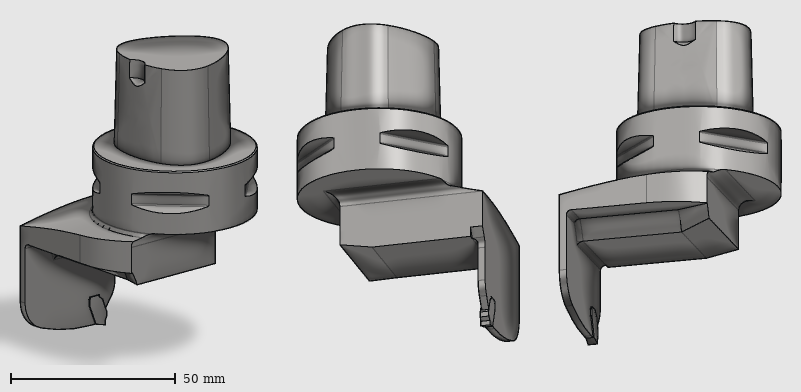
import cadquery as cq
import math


SHANK_LENGTH = 30.0
SHANK_BASE_DIAMETER = 35.1
SHANK_TAPER = 1 / 20
LOBE_OFFSET = 1.4
FACES_AROUND = 6
POINTS_PER_FACE = 7

NOTCH_RADIUS = 4.2
NOTCH_AXIS_Y = -17.6
NOTCH_DEPTH = 5.8
NOTCH_CONE_DEPTH = 3.4

FLANGE_RADIUS = 50.0 / 2
FLANGE_HEIGHT = 20.0
FLANGE_CHAMFER = 0.4
GROOVE_Z = -FLANGE_HEIGHT / 2
GROOVE_FLOOR_RADIUS = 22.0
GROOVE_FLOOR_HALF_WIDTH = 1.7
GROOVE_FLANK_ANGLE = 30
GROOVE_FLOOR_FILLET = 0.5
GROOVE_COUNT = 4

BLOCK_LEFT_X = -34.7
BLOCK_RIGHT_X = 10.45
BLOCK_FRONT_Y = -32.0
BLOCK_BACK_Y = 7.1
BLOCK_BOTTOM_Z = -38.4
FRONT_ARC_CENTER_X = -7.1
COVE_RADIUS = 4.0
CONE_START_Z = -21.2
CONE_ANGLE = 15
NECK_FILLET = 1.2
REACH = 57.0

RELIEF_TOP_Z = -32.3
RELIEF_TOP_Y = -22.8
RELIEF_TOP_SLOPE = 49
RELIEF_BOTTOM_SLOPE = 73
BEND_X = 0.3
RELIEF_TURN = 26
UNDERSIDE_RISE = 10.6

BLADE_THICKNESS = 2.3
BLADE_INNER_X = BLOCK_LEFT_X + BLADE_THICKNESS
BLADE_ROOT_FILLET = 1.5
BLADE_BACK_Y = 4.2
FLANK_ANGLE = 35
SHOULDER_RADIUS = 5.2
SHOULDER_ARC_Z = -41.2
WAIST_RADIUS = 8.0
WAIST_ARC_Z = -51.9
BLADE_BOTTOM_Z = -64.0
BOTTOM_ARC_START_Y = -5.7
BOTTOM_ARC_RADIUS = 58.7
CORNER_RADIUS = 10.0

INSERT_INNER_X = -32.0
TIP_Z = SHANK_LENGTH - 95
TIP_RISE = 0.4
INSERT_POINTS = [
    (0.0, TIP_Z),
    (0.0, -63.6),
    (0.6, -62.3),
    (0.6, -60.7),
    (0.3, -60.0),
    (-1.0, -56.5),
    (-2.3, -55.6),
    (-2.3, -54.9),
    (-5.9, -54.9),
    (-6.2, -55.7),
    (-6.2, -57.9),
    (-3.7, BLADE_BOTTOM_Z),
]
TIP = INSERT_POINTS[0]
SEAT_TOP = INSERT_POINTS[4]
SEAT_HEEL = INSERT_POINTS[-1]
FOLD_START = (0.6, -61.6)
FOLD_END = (-3.1, -64.1)


def sin(degrees):
    return math.sin(math.radians(degrees))


def cos(degrees):
    return math.cos(math.radians(degrees))


def tan(degrees):
    return math.tan(math.radians(degrees))


def lobed_wire(mean_diameter, z):
    """Closed three-lobed outline made of equal spline faces, with one lobe toward +Y."""
    radius = mean_diameter / 2

    def point(angle):
        x = radius * cos(angle) - LOBE_OFFSET * sin(2 * angle)
        y = radius * sin(angle) - LOBE_OFFSET * cos(2 * angle)
        return cq.Vector(x, y, z)

    def tangent(angle):
        x = -radius * sin(angle) - 2 * LOBE_OFFSET * cos(2 * angle)
        y = radius * cos(angle) + 2 * LOBE_OFFSET * sin(2 * angle)
        return cq.Vector(x, y, 0).normalized()

    span = 360 / FACES_AROUND
    edges = []
    for face in range(FACES_AROUND):
        start = face * span
        angles = [start + span * i / (POINTS_PER_FACE - 1) for i in range(POINTS_PER_FACE)]
        ends = [tangent(angles[0]), tangent(angles[-1])]
        edges.append(cq.Edge.makeSpline([point(angle) for angle in angles], tangents=ends))
    return cq.Wire.assembleEdges(edges)


def make_shank():
    top_diameter = SHANK_BASE_DIAMETER - SHANK_TAPER * SHANK_LENGTH
    wires = [lobed_wire(SHANK_BASE_DIAMETER, 0), lobed_wire(top_diameter, SHANK_LENGTH)]
    shank = cq.Workplane(cq.Solid.makeLoft(wires, True))
    notch_profile = [
        (0, SHANK_LENGTH),
        (NOTCH_RADIUS, SHANK_LENGTH),
        (NOTCH_RADIUS, SHANK_LENGTH - NOTCH_DEPTH),
        (0, SHANK_LENGTH - NOTCH_DEPTH - NOTCH_CONE_DEPTH),
    ]
    notch = cq.Workplane("XZ").polyline(notch_profile).close().revolve(360, (0, 0), (0, 1))
    return shank.cut(notch.translate((0, NOTCH_AXIS_Y, 0)))


def make_flange():
    flange = cq.Workplane("XY").circle(FLANGE_RADIUS).extrude(-FLANGE_HEIGHT)
    flange = flange.faces(">Z").chamfer(FLANGE_CHAMFER)
    mouth_half_width = GROOVE_FLOOR_HALF_WIDTH + (REACH - GROOVE_FLOOR_RADIUS) * tan(GROOVE_FLANK_ANGLE)
    groove_profile = [
        (GROOVE_FLOOR_RADIUS, GROOVE_Z - GROOVE_FLOOR_HALF_WIDTH),
        (REACH, GROOVE_Z - mouth_half_width),
        (REACH, GROOVE_Z + mouth_half_width),
        (GROOVE_FLOOR_RADIUS, GROOVE_Z + GROOVE_FLOOR_HALF_WIDTH),
    ]
    groove = cq.Workplane("XZ").polyline(groove_profile).close().extrude(FLANGE_RADIUS, both=True)
    groove = groove.faces("<X").edges("|Y").fillet(GROOVE_FLOOR_FILLET)
    spacing = 360 / GROOVE_COUNT
    for i in range(GROOVE_COUNT):
        flange = flange.cut(groove.rotate((0, 0, 0), (0, 0, 1), spacing * (i + 0.5)))
    return flange


def coved_profile(plane, near, wall):
    """Prism from `near` to a wall at `wall` that flares into the flange with a cove."""
    mid = COVE_RADIUS * (1 - cos(45))
    return (
        cq.Workplane(plane)
        .moveTo(near, BLOCK_BOTTOM_Z - REACH)
        .lineTo(wall, BLOCK_BOTTOM_Z - REACH)
        .lineTo(wall, -FLANGE_HEIGHT - COVE_RADIUS)
        .threePointArc((wall + mid, -FLANGE_HEIGHT - mid), (wall + COVE_RADIUS, -FLANGE_HEIGHT))
        .lineTo(near, -FLANGE_HEIGHT)
        .close()
        .extrude(REACH, both=True)
    )


def plan_prism():
    """Outline of the block from above: straight front edge running into an arc on the right."""
    radius = -BLOCK_FRONT_Y
    right = FRONT_ARC_CENTER_X + radius
    mid = (FRONT_ARC_CENTER_X + radius * cos(45), -radius * sin(45))
    return (
        cq.Workplane("XY")
        .moveTo(BLOCK_LEFT_X, BLOCK_FRONT_Y)
        .lineTo(FRONT_ARC_CENTER_X, BLOCK_FRONT_Y)
        .threePointArc(mid, (right, 0))
        .lineTo(right, REACH)
        .lineTo(BLOCK_LEFT_X, REACH)
        .close()
        .extrude(-2 * REACH)
    )


def cone_envelope():
    """Everything below the flange and under a cone that is filleted into the flange side."""
    tangent_length = NECK_FILLET * tan((90 - CONE_ANGLE) / 2)
    fillet_center_r = FLANGE_RADIUS + NECK_FILLET
    fillet_top_z = CONE_START_Z + tangent_length
    mid_angle = (90 - CONE_ANGLE) / 2
    arc_mid = (fillet_center_r - NECK_FILLET * cos(mid_angle), fillet_top_z - NECK_FILLET * sin(mid_angle))
    arc_end = (
        FLANGE_RADIUS + tangent_length * cos(CONE_ANGLE),
        CONE_START_Z - tangent_length * sin(CONE_ANGLE),
    )
    return (
        cq.Workplane("XZ")
        .moveTo(0, -FLANGE_HEIGHT)
        .lineTo(FLANGE_RADIUS, -FLANGE_HEIGHT)
        .lineTo(FLANGE_RADIUS, fillet_top_z)
        .threePointArc(arc_mid, arc_end)
        .lineTo(REACH, CONE_START_Z - (REACH - FLANGE_RADIUS) * tan(CONE_ANGLE))
        .lineTo(REACH, -2 * REACH)
        .lineTo(0, -2 * REACH)
        .close()
        .revolve(360, (0, 0), (0, 1))
    )


def underside_clearance():
    """Space under the block and beside the blade, with the fillets of the inside corners."""
    rise_end_x = BEND_X + REACH
    below = (
        cq.Workplane("XZ")
        .moveTo(BLADE_INNER_X, -2 * REACH)
        .lineTo(BLADE_INNER_X, BLOCK_BOTTOM_Z)
        .lineTo(BEND_X, BLOCK_BOTTOM_Z)
        .lineTo(rise_end_x, BLOCK_BOTTOM_Z + REACH * tan(UNDERSIDE_RISE))
        .lineTo(rise_end_x, -2 * REACH)
        .close()
        .extrude(REACH, both=True)
    )
    below = below.faces("<X").edges(">Z").fillet(BLADE_ROOT_FILLET)

    height = RELIEF_TOP_Z - BLOCK_BOTTOM_Z
    radius = height / (cos(RELIEF_TOP_SLOPE) - cos(RELIEF_BOTTOM_SLOPE))

    def on_relief(slope):
        return (
            RELIEF_TOP_Y + radius * (sin(slope) - sin(RELIEF_TOP_SLOPE)),
            RELIEF_TOP_Z - radius * (cos(RELIEF_TOP_SLOPE) - cos(slope)),
        )

    bottom_y, bottom_z = on_relief(RELIEF_BOTTOM_SLOPE)

    def relief_profile(x):
        return (
            cq.Workplane("YZ", origin=(x, 0, 0))
            .moveTo(-REACH, RELIEF_TOP_Z)
            .lineTo(RELIEF_TOP_Y, RELIEF_TOP_Z)
            .threePointArc(on_relief((RELIEF_TOP_SLOPE + RELIEF_BOTTOM_SLOPE) / 2), (bottom_y, bottom_z))
            .lineTo(bottom_y + REACH / tan(RELIEF_BOTTOM_SLOPE), bottom_z - REACH)
            .lineTo(-REACH, bottom_z - REACH)
            .close()
        )

    left_relief = relief_profile(BLADE_INNER_X).extrude(BEND_X - BLADE_INNER_X)
    left_relief = left_relief.faces("<X").edges("not(<Y or <Z)").fillet(BLADE_ROOT_FILLET)
    right_run = cq.Vector(REACH, -REACH * tan(RELIEF_TURN), REACH * tan(UNDERSIDE_RISE))
    right_relief = cq.Solid.extrudeLinear(relief_profile(BEND_X).wire().val(), [], right_run)
    ceiling = cq.Workplane("XY", origin=(0, 0, RELIEF_TOP_Z)).rect(4 * REACH, 4 * REACH).extrude(-2 * REACH)
    return below.union(left_relief).union(ceiling.intersect(cq.Workplane(right_relief)))


def blade_prism():
    """Blade outline in the YZ plane; the stretch at the insert is cut away by its seat."""

    def back_arc(radius, angle):
        return radius * (1 - cos(angle)), radius * sin(angle)

    half = FLANK_ANGLE / 2
    shoulder_dy, shoulder_dz = back_arc(SHOULDER_RADIUS, FLANK_ANGLE)
    shoulder_mid_dy, shoulder_mid_dz = back_arc(SHOULDER_RADIUS, half)
    waist_dy, waist_dz = back_arc(WAIST_RADIUS, FLANK_ANGLE)
    waist_mid_dy, waist_mid_dz = back_arc(WAIST_RADIUS, half)
    shoulder_y = BLADE_BACK_Y + shoulder_dy
    shoulder_z = SHOULDER_ARC_Z + shoulder_dz
    block_corner_z = shoulder_z + (BLOCK_BACK_Y - shoulder_y) / tan(FLANK_ANGLE)

    corner_y = BLOCK_FRONT_Y + CORNER_RADIUS
    bottom_center_z = BLADE_BOTTOM_Z + BOTTOM_ARC_RADIUS
    center_gap = BOTTOM_ARC_RADIUS - CORNER_RADIUS
    lean = math.degrees(math.asin((BOTTOM_ARC_START_Y - corner_y) / center_gap))
    corner_z = bottom_center_z - center_gap * cos(lean)

    def on_bottom(angle):
        return (
            BOTTOM_ARC_START_Y - BOTTOM_ARC_RADIUS * sin(angle),
            bottom_center_z - BOTTOM_ARC_RADIUS * cos(angle),
        )

    corner_mid = (90 + lean) / 2
    corner_mid_point = (
        corner_y - CORNER_RADIUS * sin(corner_mid),
        corner_z - CORNER_RADIUS * cos(corner_mid),
    )
    return (
        cq.Workplane("YZ", origin=(BLOCK_LEFT_X, 0, 0))
        .moveTo(BLOCK_FRONT_Y, 0)
        .lineTo(BLOCK_FRONT_Y, corner_z)
        .threePointArc(corner_mid_point, on_bottom(lean))
        .threePointArc(on_bottom(lean / 2), on_bottom(0))
        .lineTo(*SEAT_HEEL)
        .lineTo(*SEAT_TOP)
        .lineTo(BLADE_BACK_Y - waist_dy, WAIST_ARC_Z - waist_dz)
        .threePointArc(
            (BLADE_BACK_Y - waist_mid_dy, WAIST_ARC_Z - waist_mid_dz),
            (BLADE_BACK_Y, WAIST_ARC_Z),
        )
        .lineTo(BLADE_BACK_Y, SHOULDER_ARC_Z)
        .threePointArc(
            (BLADE_BACK_Y + shoulder_mid_dy, SHOULDER_ARC_Z + shoulder_mid_dz),
            (shoulder_y, shoulder_z),
        )
        .lineTo(BLOCK_BACK_Y, block_corner_z)
        .lineTo(BLOCK_BACK_Y + COVE_RADIUS, block_corner_z)
        .lineTo(BLOCK_BACK_Y + COVE_RADIUS, 0)
        .close()
        .extrude(BLADE_THICKNESS + BLADE_ROOT_FILLET)
    )


def make_block_and_blade():
    """Block hanging from the flange, with the thin blade along its left face."""
    body = coved_profile("XZ", BLOCK_LEFT_X, BLOCK_RIGHT_X)
    body = body.intersect(coved_profile("YZ", BLOCK_FRONT_Y, BLOCK_BACK_Y))
    body = body.intersect(plan_prism()).intersect(cone_envelope())
    body = body.cut(underside_clearance())
    root_width = BLADE_THICKNESS + BLADE_ROOT_FILLET
    around_blade = (
        cq.Workplane("XY")
        .box(root_width, 2 * REACH, 2 * REACH, centered=(False, True, False))
        .translate((BLOCK_LEFT_X, 0, -2 * REACH))
        .cut(blade_prism())
    )
    return body.cut(around_blade)


def insert_prism():
    """Full outline of the insert, as thick as the raised tip; it also cuts the seat in the blade."""
    outer_x = BLOCK_LEFT_X - TIP_RISE
    profile = cq.Workplane("YZ", origin=(outer_x, 0, 0)).polyline(INSERT_POINTS).close()
    return profile.extrude(INSERT_INNER_X - outer_x)


def make_insert():
    """Insert flush with the blade face, except for the tip that rises beyond a fold line."""
    fold = cq.Vector(0, FOLD_START[0] - FOLD_END[0], FOLD_START[1] - FOLD_END[1]).normalized()
    outward = cq.Vector(-1, 0, 0)
    toward_tip = outward.cross(fold)
    to_tip = cq.Vector(0, TIP[0] - FOLD_START[0], TIP[1] - FOLD_START[1])
    tip_distance = to_tip.dot(toward_tip)
    origin = (BLOCK_LEFT_X, *FOLD_START)
    plane = cq.Plane(origin=origin, xDir=toward_tip, normal=fold)
    waste_profile = [
        (-REACH, 0),
        (0, 0),
        (tip_distance, TIP_RISE),
        (tip_distance, 2 * TIP_RISE),
        (-REACH, 2 * TIP_RISE),
    ]
    waste = cq.Workplane(plane).polyline(waste_profile).close().extrude(REACH, both=True)
    return insert_prism().cut(waste)


holder = make_flange().union(make_shank()).union(make_block_and_blade()).cut(insert_prism())
insert = make_insert()

result = cq.Compound.makeCompound([holder.solids().val(), insert.solids().val()])